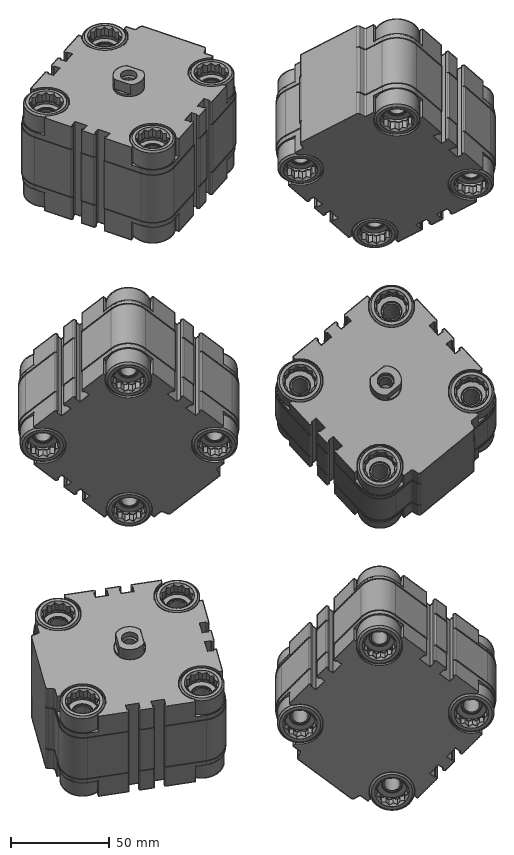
import cadquery as cq
import math

BODY_WIDTH = 87.0
BODY_HEIGHT = 60.0
BOSS_REACH = 47.5
CAP_HEIGHT = 14.6
CAP_INSET = 0.4
SIDE = BODY_WIDTH / 2

SCREW_PITCH = 62.0
SCREW_OFFSET = SCREW_PITCH / 2
CORNER_RADIUS = SIDE - SCREW_OFFSET

BOSS_BASE_HALF_WIDTH = 20.3
BOSS_FLANK_ANGLE = 15
BOSS_TIP_FILLET = 1.5
BOSS_BASE_FILLET = 1.0

SLOT_SPACING = 13.3
SLOT_MOUTH = 5.3
SLOT_WIDTH = 6.8
SLOT_FLOOR = 38.3
SLOT_LIP = 41.6
SLOT_EDGE_FILLET = 0.6

HEAD_DIAMETER = 23.0
HEAD_HEIGHT = 11.5
SEAT_DIAMETER = 23.7
HEAD_CHAMFER = 1.0
RELIEF_EDGE = 5.7

SOCKET_MOUTH_DIAMETER = 17.6
SOCKET_TIP_DIAMETER = 16.5
POINT_SPACING = 360 / 12
SOCKET_STAR_DEPTH = 6.0
SOCKET_DEPTH = 7.9
SOCKET_BOTTOM_DIAMETER = 16.5

BOLT_SINK_DIAMETER = 10.7
BOLT_SHELF_DIAMETER = 10.0
BOLT_HOLE_DIAMETER = 8.4

ROD_DIAMETER = 16.0
ROD_TOP = 67.5
ROD_INSERT = CAP_HEIGHT
ROD_FLATS = 13.0
FLATS_START = 1.4
ROD_BORE_DIAMETER = 8.4
ROD_BORE_DEPTH = 3.4
ROD_CORE_DIAMETER = 6.6
ROD_CORE_DEPTH = 14.6
DRILL_POINT_ANGLE = 118


def cone(center, z_wide, radius_wide, z_narrow, radius_narrow):
    """Truncated or pointed cone on a vertical axis, its wide end uppermost."""
    profile = cq.Workplane("XZ").moveTo(0, z_narrow)
    if radius_narrow > 0:
        profile = profile.lineTo(radius_narrow, z_narrow)
    profile = profile.lineTo(radius_wide, z_wide).lineTo(0, z_wide).close()
    return profile.revolve(360, (0, 0, 0), (0, 1, 0)).translate((center[0], center[1], 0))


def cylinder(center, diameter, bottom, top):
    return cq.Workplane("XY", origin=(*center, bottom)).circle(diameter / 2).extrude(top - bottom)


def slot(center, face):
    """T-slot in the front side, open through a flat face at the given distance."""
    half_mouth = SLOT_MOUTH / 2
    half_width = SLOT_WIDTH / 2
    rounded_mouth = half_mouth + SLOT_EDGE_FILLET
    round_start = face - SLOT_EDGE_FILLET
    outside = SIDE + SLOT_EDGE_FILLET
    chord = SLOT_EDGE_FILLET * (1 - math.sqrt(0.5))
    outline = (
        cq.Workplane("XY")
        .moveTo(-rounded_mouth, -outside)
        .lineTo(-rounded_mouth, -face)
        .threePointArc((-half_mouth - chord, -face + chord), (-half_mouth, -round_start))
        .lineTo(-half_mouth, -SLOT_LIP)
        .lineTo(-half_width, -SLOT_LIP)
        .lineTo(-half_width, -SLOT_FLOOR)
        .lineTo(half_width, -SLOT_FLOOR)
        .lineTo(half_width, -SLOT_LIP)
        .lineTo(half_mouth, -SLOT_LIP)
        .lineTo(half_mouth, -round_start)
        .threePointArc((half_mouth + chord, -face + chord), (rounded_mouth, -face))
        .lineTo(rounded_mouth, -outside)
        .close()
    )
    return outline.extrude(BODY_HEIGHT).translate((center, 0, 0))


def profile_block(inset, bottom, top):
    """Length of the slotted profile, its outline moved inward by the inset."""
    face = SIDE - inset
    height = top - bottom
    block = cq.Workplane("XY").rect(2 * face, 2 * face).extrude(height)
    block = block.edges("|Z").fillet(CORNER_RADIUS - inset)

    base_half = BOSS_BASE_HALF_WIDTH - inset
    tip_half = base_half - (BOSS_REACH - face) * math.tan(math.radians(BOSS_FLANK_ANGLE))
    root = face - CORNER_RADIUS
    boss = (
        cq.Workplane("XY")
        .polyline([
            (-base_half, root),
            (-base_half, face),
            (-tip_half, BOSS_REACH),
            (tip_half, BOSS_REACH),
            (base_half, face),
            (base_half, root),
        ])
        .close()
        .extrude(height)
    )
    block = block.union(boss)
    for x in (-base_half, base_half):
        block = block.edges(cq.NearestToPointSelector((x, face, height / 2))).fillet(BOSS_BASE_FILLET)
    for x in (-tip_half, tip_half):
        block = block.edges(cq.NearestToPointSelector((x, BOSS_REACH, height / 2))).fillet(BOSS_TIP_FILLET)

    for turn in (-90, 0, 90):
        for center in (-SLOT_SPACING / 2, SLOT_SPACING / 2):
            block = block.cut(slot(center, face).rotate((0, 0, 0), (0, 0, 1), turn))
    return block.translate((0, 0, bottom))


def corner_relief(x_sign, y_sign):
    """Space around a screw head in the top cap: its round pocket, opened to the outer corner."""
    center = (x_sign * SCREW_OFFSET, y_sign * SCREW_OFFSET)
    bottom = BODY_HEIGHT - HEAD_HEIGHT
    inner = SCREW_OFFSET - RELIEF_EDGE
    size = SIDE - inner
    middle = inner + size / 2
    opening = (
        cq.Workplane("XY", origin=(x_sign * middle, y_sign * middle, bottom))
        .rect(size, size)
        .extrude(HEAD_HEIGHT)
    )
    return opening.union(cylinder(center, SEAT_DIAMETER, bottom, BODY_HEIGHT))


def screw_head(center):
    head = cylinder(center, HEAD_DIAMETER, BODY_HEIGHT - HEAD_HEIGHT, BODY_HEIGHT)
    return head.faces(">Z").edges().chamfer(HEAD_CHAMFER)


def socket(center):
    """Countersunk twelve-point socket with a round bottom and the upper half of the bolt hole."""
    tip_radius = SOCKET_TIP_DIAMETER / 2
    flat_radius = tip_radius * math.cos(math.radians(POINT_SPACING))
    mouth_radius = SOCKET_MOUTH_DIAMETER / 2
    top = BODY_HEIGHT
    floor = top - SOCKET_DEPTH

    star = cq.Workplane("XY", origin=(*center, top - SOCKET_STAR_DEPTH))
    hexagon = star.polygon(6, SOCKET_TIP_DIAMETER).extrude(SOCKET_STAR_DEPTH)
    turned = hexagon.rotate((*center, 0), (*center, 1), POINT_SPACING)
    mouth = cone(center, top, mouth_radius, top - (mouth_radius - flat_radius), flat_radius)
    bottom = cylinder(center, SOCKET_BOTTOM_DIAMETER, floor, top - SOCKET_STAR_DEPTH)

    sink_radius = BOLT_SINK_DIAMETER / 2
    shelf_radius = BOLT_SHELF_DIAMETER / 2
    sink = cone(center, floor, sink_radius, floor - (sink_radius - shelf_radius), shelf_radius)
    hole = cylinder(center, BOLT_HOLE_DIAMETER, BODY_HEIGHT / 2, floor)
    return hexagon.union(turned).union(mouth).union(bottom).union(sink).union(hole)


def at_both_ends(tool):
    """The tool and its mirror image at the underside."""
    return [tool, tool.mirror("XY", (0, 0, BODY_HEIGHT / 2))]


def make_housing():
    cap_start = BODY_HEIGHT - CAP_HEIGHT
    housing = profile_block(0, CAP_HEIGHT, cap_start)
    housing = housing.union(profile_block(CAP_INSET, 0, CAP_HEIGHT))
    housing = housing.union(profile_block(CAP_INSET, cap_start, BODY_HEIGHT))
    for x_sign in (-1, 1):
        for y_sign in (-1, 1):
            center = (x_sign * SCREW_OFFSET, y_sign * SCREW_OFFSET)
            for relief in at_both_ends(corner_relief(x_sign, y_sign)):
                housing = housing.cut(relief)
            for head in at_both_ends(screw_head(center)):
                housing = housing.union(head)
            for recess in at_both_ends(socket(center)):
                housing = housing.cut(recess)
    return housing.cut(cylinder((0, 0), ROD_DIAMETER, BODY_HEIGHT - ROD_INSERT, BODY_HEIGHT))


def make_rod():
    axis = (0, 0)
    rod = cylinder(axis, ROD_DIAMETER, BODY_HEIGHT - ROD_INSERT, ROD_TOP)

    flats_bottom = BODY_HEIGHT + FLATS_START
    flat_depth = (ROD_DIAMETER - ROD_FLATS) / 2
    for y_sign in (-1, 1):
        y = y_sign * (ROD_FLATS + flat_depth) / 2
        flat = cq.Workplane("XY", origin=(0, y, flats_bottom)).rect(ROD_DIAMETER, flat_depth)
        rod = rod.cut(flat.extrude(ROD_TOP - flats_bottom))

    bore_radius = ROD_BORE_DIAMETER / 2
    core_radius = ROD_CORE_DIAMETER / 2
    bore_end = ROD_TOP - ROD_BORE_DEPTH
    core_end = ROD_TOP - ROD_CORE_DEPTH
    point_length = core_radius / math.tan(math.radians(DRILL_POINT_ANGLE / 2))
    rod = rod.cut(cylinder(axis, ROD_BORE_DIAMETER, bore_end, ROD_TOP))
    rod = rod.cut(cone(axis, bore_end, bore_radius, bore_end - (bore_radius - core_radius), core_radius))
    rod = rod.cut(cylinder(axis, ROD_CORE_DIAMETER, core_end, bore_end))
    return rod.cut(cone(axis, core_end, core_radius, core_end - point_length, 0))


housing = make_housing()
rod = make_rod()
result = cq.Compound.makeCompound([housing.solids().val(), rod.solids().val()])